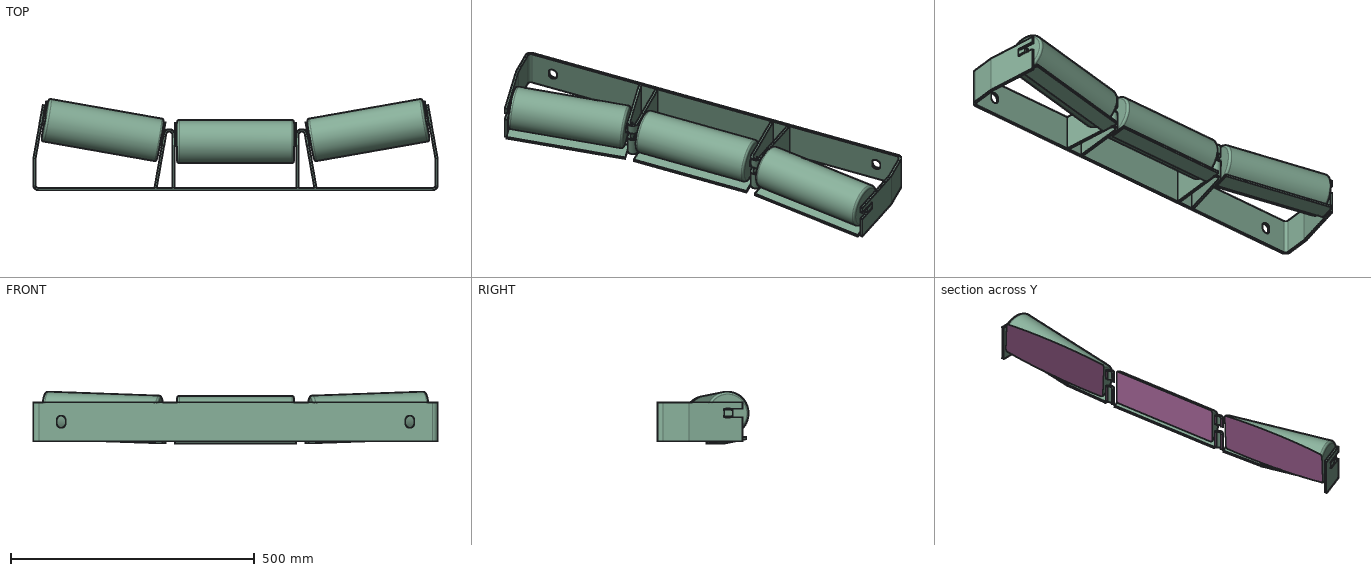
import cadquery as cq
import math

frame_width = 830.0
strip_height = 80.0
strip_thickness = 5.0
corner_radius = 11.0
bend_y = 64.0
frame_depth = 175.0

side_angle = 10.0
tilt_angle = 2.0
roller_gap = 250.0

mount_width = 18.0
mount_height = 25.0
mount_x = 357.5

fold_radius = 11.0

roller_diameter = 89.0
roller_length = 240.0
roller_fillet = 5.0
shaft_diameter = 20.0
shaft_clearance = 1.0
tongue_width = 18.0
tongue_height = 13.0
slot_height = 18.0
slot_corner_radius = 2.5

middle_axis_y = 100.0
middle_axis_z = 48.8
side_axis_y = 123.5
side_axis_z = 53.54

guard_clearance = 0.5
guard_width = 38.0
guard_thickness = 5.0
guard_drop = 53.8

half_width = frame_width / 2
half_gap = roller_gap / 2
guard_length = roller_gap - 2 * guard_clearance
wall_centre = half_gap + strip_thickness / 2
sin_side = math.sin(math.radians(side_angle))
cos_side = math.cos(math.radians(side_angle))
tan_side = sin_side / cos_side
wall_rise = wall_centre * math.sin(math.radians(tilt_angle))

side_axis_x = half_width - (side_axis_y - bend_y) * tan_side - (half_gap + strip_thickness) / cos_side


def place_side(local):
    """Move a part built around the X axis to the +X side roller position."""
    turned = local.rotate((0, 0, 0), (0, 0, 1), side_angle)
    return turned.translate((side_axis_x, side_axis_y, side_axis_z))


def mirror_x(part):
    return part.mirror("YZ")


def slot_cutter(wall_x, width):
    """Open slot for a shaft tongue, running +Y from the underside of the tongue."""
    slot = cq.Workplane("XY").box(width, frame_depth, slot_height, centered=(True, False, True))
    slot = slot.faces("<Y").edges("|X").fillet(slot_corner_radius)
    return slot.translate((wall_x, -tongue_width / 2, 0))


def make_frame():
    tip_x = half_width - (frame_depth - bend_y) * tan_side
    inner_bend_y = bend_y - strip_thickness * math.tan(math.radians(side_angle / 2))
    outer = [(half_width, 0), (half_width, bend_y), (tip_x, frame_depth)]
    inner = [
        (tip_x - strip_thickness * cos_side, frame_depth - strip_thickness * sin_side),
        (half_width - strip_thickness, inner_bend_y),
        (half_width - strip_thickness, strip_thickness),
    ]
    right = outer + inner
    left = [(-x, y) for x, y in reversed(right)]
    frame = cq.Workplane("XY").polyline(right + left).close().extrude(strip_height)

    inner_x = half_width - strip_thickness
    for side in (-1, 1):
        outer_edge = cq.NearestToPointSelector((side * half_width, 0, strip_height / 2))
        frame = frame.edges("|Z").edges(outer_edge).fillet(corner_radius)
        inner_edge = cq.NearestToPointSelector((side * inner_x, strip_thickness, strip_height / 2))
        frame = frame.edges("|Z").edges(inner_edge).fillet(corner_radius - strip_thickness)

    mounts = (
        cq.Workplane("XZ")
        .pushPoints([(-mount_x, strip_height / 2), (mount_x, strip_height / 2)])
        .slot2D(mount_height, mount_width, 90)
        .extrude(-strip_thickness)
    )
    slot = place_side(slot_cutter(wall_centre, 2 * strip_thickness).translate((0, 0, wall_rise)))
    return frame.cut(mounts).cut(slot).cut(mirror_x(slot))


def make_bracket():
    def leg_x(offset, y):
        """X at a given Y on the plane `offset` behind the leg face towards the side roller."""
        return side_axis_x - (y - side_axis_y) * tan_side - (half_gap + offset) / cos_side

    fold_x = half_gap + fold_radius
    fold_y = side_axis_y + (side_axis_x - fold_x - (half_gap + fold_radius) / cos_side) / tan_side

    def fold_point(radius, angle):
        turn = math.radians(angle)
        return (fold_x + radius * math.cos(turn), fold_y + radius * math.sin(turn))

    inner_radius = fold_radius - strip_thickness
    base = strip_thickness
    crown = 90 + side_angle / 2
    bracket = (
        cq.Workplane("XY")
        .moveTo(half_gap, base)
        .lineTo(half_gap, fold_y)
        .threePointArc(fold_point(fold_radius, crown), fold_point(fold_radius, side_angle))
        .lineTo(leg_x(0, base), base)
        .lineTo(leg_x(strip_thickness, base), base)
        .lineTo(*fold_point(inner_radius, side_angle))
        .threePointArc(fold_point(inner_radius, crown), fold_point(inner_radius, 180))
        .lineTo(half_gap + strip_thickness, base)
        .close()
        .extrude(strip_height)
    )
    slot_x = half_gap + fold_radius / 2
    middle_slot = slot_cutter(slot_x, fold_radius).translate((0, middle_axis_y, middle_axis_z))
    side_slot = place_side(slot_cutter(-slot_x, fold_radius).translate((0, 0, -wall_rise)))
    return bracket.cut(middle_slot).cut(side_slot)


def make_roller():
    drum_start = cq.Workplane("YZ", origin=(-roller_length / 2, 0, 0))
    drum = drum_start.circle(roller_diameter / 2).extrude(roller_length)
    drum = drum.edges().fillet(roller_fillet)
    shaft_reach = half_gap - shaft_clearance
    shaft = cq.Workplane("YZ").circle(shaft_diameter / 2).extrude(shaft_reach, both=True)
    tongue = cq.Workplane("XY").box(roller_gap + 2 * strip_thickness, tongue_width, tongue_height)
    return drum.union(shaft).union(tongue)


def make_guard():
    centred = (True, False, False)
    guard = cq.Workplane("XY").box(guard_length, guard_width, guard_thickness, centered=centred)
    return guard.translate((0, 0, -guard_drop))


def at_each_station(part, inward_shift=0):
    """Copies of a part at the middle, +X and -X roller positions.

    The shift slides the two side copies inwards along their axes.
    """
    middle = part.translate((0, middle_axis_y, middle_axis_z))
    tilted = part.rotate((0, 0, 0), (0, 1, 0), -tilt_angle)
    right = place_side(tilted.translate((-inward_shift, 0, 0)))
    return [middle, right, mirror_x(right)]


frame = make_frame()
bracket = make_bracket()
brackets = [bracket, mirror_x(bracket)]

guard_shift = (guard_drop - guard_thickness / 2) * math.sin(math.radians(tilt_angle))

rollers = at_each_station(make_roller())
guards = at_each_station(make_guard(), guard_shift)

bodies = [frame, *brackets, *rollers, *guards]
result = cq.Compound.makeCompound([body.solids().val() for body in bodies])